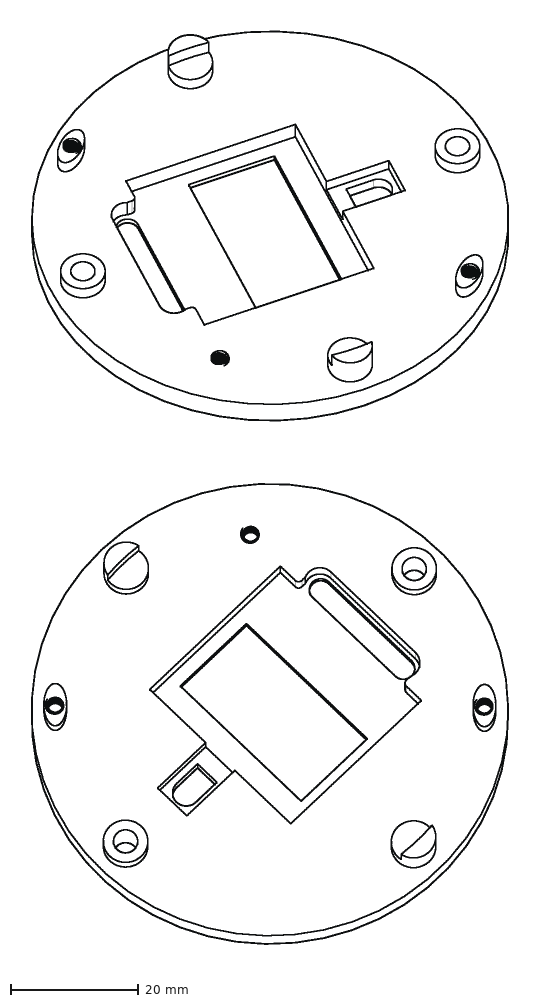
import cadquery as cq
import math

plate_diameter = 74.93
plate_thickness = 4.13

boss_height = 2.3
boss_diameter = 7.0
boss_circle_radius = 32.0
screw_hole_diameter = 3.8

lip_height = 2.5
lip_inner_radius = 32.85

ellipse_length = 7.0
ellipse_width = 3.6
ellipse_angle = -45.0
ellipse_offset = 23.85

thread_major_diameter = 3.15
thread_minor_diameter = 2.4
thread_pitch = 0.5
thread_depth = 3.0
thread_groove_width = 0.4
thread_overlap = 0.05
drill_tip_angle = 118.0
thread_start_angle = -45.0
plate_thread_position = (22.8, -18.45)

pocket_width = 31.4
pocket_top = 11.0
pocket_bottom = -17.95
pocket_floor = 1.0
window_width = 26.9
window_top = 6.45
window_bottom = -8.2

channel_width = 6.5
channel_top = 21.65
channel_floor = 2.05
arch_width = 4.3
arch_top = 20.7
arch_bottom = 13.9

slot_length = 22.0
slot_width = 3.6
slot_y = -20.45
recess_length = 23.7
recess_width = 4.9
recess_neck_width = 23.3
neck_fillet = 0.7

plate_top = plate_thickness
boss_top = plate_top + boss_height
lip_top = boss_top + lip_height


def block(width, y_low, y_high, z_low, z_high):
    """Box centred on X = 0 between two Y and two Z levels."""
    return (
        cq.Workplane("XY", origin=(0, (y_low + y_high) / 2, z_low))
        .rect(width, y_high - y_low)
        .extrude(z_high - z_low)
    )


def cylinder(diameter, x, y, z_low, z_high):
    return cq.Workplane("XY", origin=(x, y, z_low)).circle(diameter / 2).extrude(z_high - z_low)


def screw_boss(y):
    return cylinder(boss_diameter, 0, y, plate_top, boss_top)


def lip_boss(x):
    """Round boss with a lip on its outer side, bounded by an arc about the plate centre."""
    base = cylinder(boss_diameter, x, 0, plate_top, boss_top)
    lip = cylinder(boss_diameter, x, 0, boss_top, lip_top)
    lip = lip.cut(cylinder(2 * lip_inner_radius, 0, 0, boss_top, lip_top))
    return base.union(lip)


def elliptical_boss(x, y):
    return (
        cq.Workplane("XY", origin=(x, y, plate_top))
        .transformed(rotate=(0, 0, ellipse_angle))
        .ellipse(ellipse_length / 2, ellipse_width / 2)
        .extrude(boss_height)
    )


def thread_groove():
    """Solid helical V ridge that cuts the thread groove, running down from just above Z = 0."""
    root_radius = thread_minor_diameter / 2 - thread_overlap
    crest_radius = thread_major_diameter / 2
    half_width = thread_groove_width / 2
    path = cq.Wire.makeHelix(thread_pitch, thread_depth, root_radius)
    ridge = (
        cq.Workplane("XZ")
        .polyline([(root_radius, -half_width), (crest_radius, 0), (root_radius, half_width)])
        .close()
        .sweep(cq.Workplane(path), isFrenet=True)
    )
    top_overrun = thread_pitch / 2
    return ridge.translate((0, 0, top_overrun - thread_depth))


def cut_threaded_hole(body, x, y, z_top):
    """Cut a blind tapped hole: a drilled core with a conical tip, then the thread groove."""
    core_radius = thread_minor_diameter / 2
    tip_depth = core_radius / math.tan(math.radians(drill_tip_angle / 2))
    core = (
        cq.Workplane("XZ")
        .polyline([(0, 0), (core_radius, 0), (core_radius, -thread_depth), (0, -thread_depth - tip_depth)])
        .close()
        .revolve(360, (0, 0), (0, 1))
    )
    core = core.rotate((0, 0, 0), (0, 0, 1), thread_start_angle + 180)
    groove = thread_groove().rotate((0, 0, 0), (0, 0, 1), thread_start_angle)
    position = (x, y, z_top)
    return body.cut(core.translate(position)).cut(groove.translate(position))


def pocket():
    return block(pocket_width, pocket_bottom, pocket_top, pocket_floor, plate_top)


def window():
    return block(window_width, window_bottom, window_top, 0, pocket_floor)


def channel():
    return block(channel_width, pocket_top, channel_top, channel_floor, plate_top)


def arched_opening():
    arch_centre = arch_top - arch_width / 2
    straight = block(arch_width, arch_bottom, arch_centre, 0, channel_floor)
    return straight.union(cylinder(arch_width, 0, arch_centre, 0, channel_floor))


def slot():
    return cq.Workplane("XY", origin=(0, slot_y, 0)).slot2D(slot_length, slot_width).extrude(pocket_floor)


def slot_recess():
    depth = plate_top - pocket_floor
    ends = (
        cq.Workplane("XY", origin=(0, slot_y, pocket_floor))
        .slot2D(recess_length, recess_width)
        .extrude(depth)
    )
    neck = block(recess_neck_width, slot_y, pocket_bottom, pocket_floor, plate_top)
    return ends.union(neck)


def rounded_pocket():
    """Main pocket joined to the slot recess, with the two corners at the neck rounded."""
    neck_corners = cq.selectors.BoxSelector(
        (-pocket_width / 2 + neck_fillet, pocket_bottom - neck_fillet, 0),
        (pocket_width / 2 - neck_fillet, pocket_bottom + neck_fillet, plate_top),
    )
    return pocket().union(slot_recess()).edges("|Z").edges(neck_corners).fillet(neck_fillet)


result = cylinder(plate_diameter, 0, 0, 0, plate_top)
for side in (-1, 1):
    result = result.union(screw_boss(side * boss_circle_radius))
    result = result.union(lip_boss(side * boss_circle_radius))
    result = result.union(elliptical_boss(side * ellipse_offset, side * ellipse_offset))

result = result.cut(rounded_pocket())
for cutter in (window(), channel(), arched_opening(), slot()):
    result = result.cut(cutter)

for side in (-1, 1):
    boss_offset = side * ellipse_offset
    result = result.cut(cylinder(screw_hole_diameter, 0, side * boss_circle_radius, 0, boss_top))
    result = cut_threaded_hole(result, boss_offset, boss_offset, boss_top)
result = cut_threaded_hole(result, *plate_thread_position, plate_top)